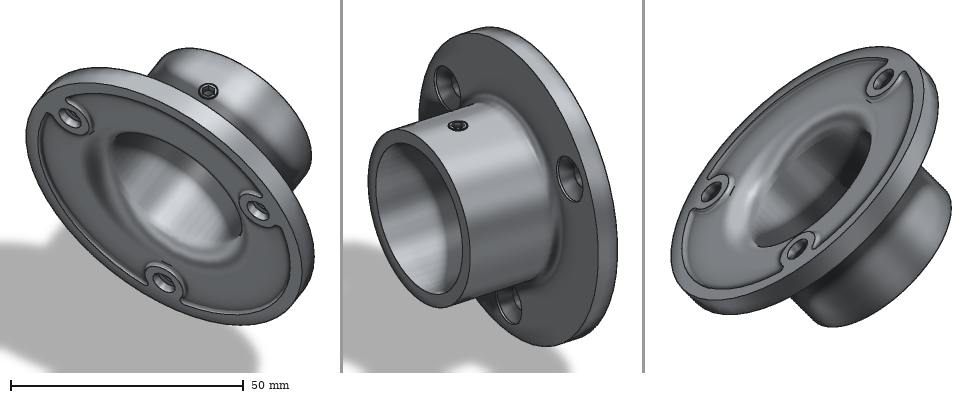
import cadquery as cq
import math

flange_diameter = 70.0
flange_thickness = 5.0
overall_depth = 28.0
hub_diameter = 39.8
bore_diameter = 33.8
hub_root_radius = 1.95

recess_diameter = 64.0
recess_depth = 1.05
recess_fillet = 1.0
recess_corner_radius = 1.05
mouth_radius = 5.0

hole_count = 3
first_hole_angle = -90.0
hole_circle_radius = 27.5
hole_diameter = 5.5
shank_length = 2.0
countersink_diameter = 10.3
boss_diameter = 9.65

grub_diameter = 4.2
grub_chamfer = 0.2
grub_position = 18.0
socket_sides = 6
socket_width = 2.5
socket_depth = 1.4
socket_tip_angle = 120.0

hub_radius = hub_diameter / 2
bore_radius = bore_diameter / 2
grub_radius = grub_diameter / 2
grub_top = hub_radius
grub_bottom = bore_radius

hole_centres = [
    (hole_circle_radius * math.cos(angle), hole_circle_radius * math.sin(angle))
    for angle in (math.radians(first_hole_angle + i * 360 / hole_count) for i in range(hole_count))
]


def disc(diameter, start, end):
    """Cylinder on the Y axis from Y = start to Y = end."""
    plane = cq.Workplane("XZ", origin=(0, start, 0))
    return plane.circle(diameter / 2).extrude(start - end)


def flared_cylinder(radius, flare_radius, flare_start):
    """Cylinder along the whole depth whose front end widens in a concave quarter arc.

    The arc runs from Y = flare_start, at its widest, to the straight cylinder.
    """
    wide_radius = radius + flare_radius
    flare_end = flare_start + flare_radius
    arc_offset = flare_radius * math.sqrt(0.5)
    arc_middle = (wide_radius - arc_offset, flare_end - arc_offset)
    return (
        cq.Workplane("XY")
        .lineTo(wide_radius, 0)
        .lineTo(wide_radius, flare_start)
        .threePointArc(arc_middle, (radius, flare_end))
        .lineTo(radius, overall_depth)
        .lineTo(0, overall_depth)
        .close()
        .revolve(360, (0, 0, 0), (0, 1, 0))
    )


def make_recess():
    """Volume of the front recess, interrupted by the bosses, with a rounded floor edge."""
    bosses = cq.Workplane("XZ").pushPoints(hole_centres).circle(boss_diameter / 2).extrude(-recess_depth)
    recess = disc(recess_diameter, 0, recess_depth).cut(bosses)
    recess = recess.edges("|Y").fillet(recess_corner_radius)
    return recess.faces(">Y").edges().fillet(recess_fillet)


def make_screw_hole(centre):
    """Volume of a through hole whose 90 degree countersink opens into a straight recess at the back."""
    shank_radius = hole_diameter / 2
    head_radius = countersink_diameter / 2
    head_start = shank_length + head_radius - shank_radius
    hole = (
        cq.Workplane("XY")
        .lineTo(shank_radius, 0)
        .lineTo(shank_radius, shank_length)
        .lineTo(head_radius, head_start)
        .lineTo(head_radius, flange_thickness)
        .lineTo(0, flange_thickness)
        .close()
        .revolve(360, (0, 0, 0), (0, 1, 0))
    )
    return hole.translate((centre[0], 0, centre[1]))


def grub_blank(bottom, top):
    """Vertical cylinder of the grub screw diameter between two heights."""
    plane = cq.Workplane("XY", origin=(0, grub_position, bottom))
    return plane.circle(grub_radius).extrude(top - bottom)


def make_flange():
    """Flange with hub, bore, recess, screw holes and the hole for the grub screw."""
    flange = disc(flange_diameter, 0, flange_thickness)
    flange = flange.union(flared_cylinder(hub_radius, hub_root_radius, flange_thickness))
    flange = flange.cut(make_recess())
    flange = flange.cut(flared_cylinder(bore_radius, mouth_radius, recess_depth))
    for centre in hole_centres:
        flange = flange.cut(make_screw_hole(centre))
    return flange.cut(grub_blank(0, flange_diameter / 2))


def make_grub_screw():
    """Chamfered grub screw with a hexagon socket that ends in a drill point."""
    floor_height = grub_top - socket_depth
    corner_diameter = socket_width / math.cos(math.pi / socket_sides)
    tip_depth = socket_width / 2 / math.tan(math.radians(socket_tip_angle / 2))
    socket = (
        cq.Workplane("XY", origin=(0, grub_position, floor_height))
        .polygon(socket_sides, corner_diameter)
        .extrude(socket_depth)
    )
    tip = cq.Workplane(cq.Solid.makeCone(
        socket_width / 2, 0, tip_depth,
        pnt=cq.Vector(0, grub_position, floor_height), dir=cq.Vector(0, 0, -1),
    ))
    blank = grub_blank(grub_bottom, grub_top).faces(">Z").edges().chamfer(grub_chamfer)
    return blank.cut(socket).cut(tip)


flange = make_flange()
grub_screw = make_grub_screw()

result = cq.Compound.makeCompound([flange.solids().val(), grub_screw.solids().val()])